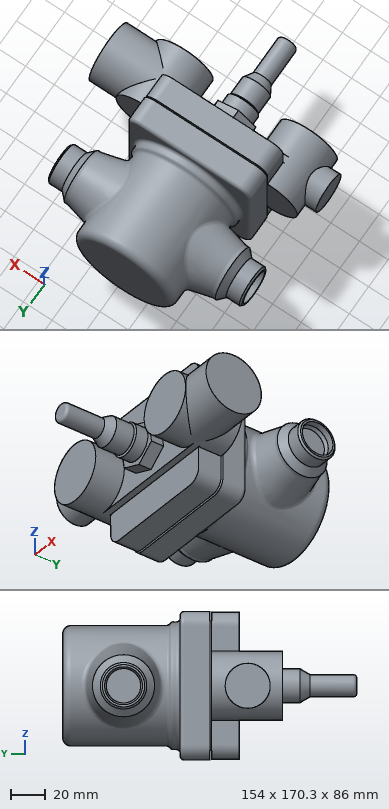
import cadquery as cq
import math


body_dia = 70.0
body_top = 86.2
body_top_fillet = 5.1
neck_dia = 74.0
neck_cone_top = 25.0
neck_cone_height = (neck_dia - body_dia) / 2
neck_blend = 1.5
neck_root_fillet = 2.0

upper_flange_size = 86.0
upper_flange_top = 18.2
upper_flange_corner = 8.2
upper_flange_fillet = 2.4
lower_flange_size = 85.1
lower_flange_thickness = 16.2
lower_flange_corner = 8.2
gasket_dia = 75.0
gasket_thickness = 1.0

port_y = 50.9
port_tip_x = 67.8
port_dia = 26.9
port_length = 10.4
port_chamfer = 1.2
shoulder_dia = 36.0
shoulder_length = 2.2
boss_base_dia = 44.0
boss_base_x = 35.0
boss_inner_x = 17.0
boss_root_fillet = 2.9
socket_dia = 22.0
socket_floor_dia = 20.0
socket_straight_depth = 4.5
socket_depth = 6.8

pipe_dia = 40.0
pipe_length = 41.2
pipe_spacing = 86.8
branch_y = -21.0
plate_bottom = -20.6
plate_thickness = 4.5
inlet_dia = 26.0
inlet_end_x = -71.0
outlet_end_x = 83.0

hex_across_flats = 26.9
hex_turn = 39.0
hex_bottom = -29.3
collar_dia = 22.0
collar_bottom = -37.5
groove_dia = 14.5
groove_bottom = -38.5
stem_dia = 20.0
stem_bottom = -51.0
tip_dia = 13.0
tip_cone_bottom = -57.0
tip_bottom = -84.1
tip_fillet = 2.0


def y_plane(y):
    """Work plane at height y whose normal points to +Y and whose local axes are X and -Z."""
    return cq.Workplane("XZ", origin=(0, y, 0)).transformed(rotate=(180, 0, 0))


def y_cylinder(dia, bottom, top, x=0.0):
    return y_plane(bottom).center(x, 0).circle(dia / 2).extrude(top - bottom)


def x_cylinder(dia, start, end, y):
    return cq.Workplane("YZ", origin=(start, y, 0)).circle(dia / 2).extrude(end - start)


def at_height(y):
    """Selector for edges centred within a thin slice at height y."""
    reach = upper_flange_size
    margin = 0.2
    return cq.selectors.BoxSelector((-reach, y - margin, -reach), (reach, y + margin, reach))


def flange(size, corner, bottom, top):
    block = y_plane(bottom).rect(size, size).extrude(top - bottom)
    return block.edges("|Y").fillet(corner)


def make_body():
    """Round body whose lower end widens through a blended cone into the neck."""
    neck_cone_bottom = neck_cone_top - neck_cone_height
    profile = [
        (0, upper_flange_top),
        (neck_dia / 2, upper_flange_top),
        (neck_dia / 2, neck_cone_bottom),
        (body_dia / 2, neck_cone_top),
        (body_dia / 2, body_top),
        (0, body_top),
    ]
    body = cq.Workplane("XY").polyline(profile).close().revolve(360, (0, 0), (0, 1))
    for y in (neck_cone_top, neck_cone_bottom):
        body = body.edges(at_height(y)).fillet(neck_blend)
    return body.faces(">Y").edges().fillet(body_top_fillet)


def revolve_on_port_axis(profile, side):
    """Revolve (x, radius) points about the port axis, mirrored to -X when side is -1."""
    points = [(side * x, radius) for x, radius in profile]
    plane = cq.Workplane("XY", origin=(0, port_y, 0))
    return plane.polyline(points).close().revolve(360, (0, 0), (1, 0))


def port_boss(side):
    """Outer shape of a side port; side is -1 or +1 along X."""
    tube_start = port_tip_x - port_length
    shoulder_end = tube_start - (shoulder_dia - port_dia) / 2
    cone_end = shoulder_end - shoulder_length
    cone_slope = (boss_base_dia - shoulder_dia) / 2 / (cone_end - boss_base_x)
    inner_radius = boss_base_dia / 2 + cone_slope * (boss_base_x - boss_inner_x)
    profile = [
        (boss_inner_x, 0),
        (boss_inner_x, inner_radius),
        (cone_end, shoulder_dia / 2),
        (shoulder_end, shoulder_dia / 2),
        (tube_start, port_dia / 2),
        (port_tip_x - port_chamfer, port_dia / 2),
        (port_tip_x, port_dia / 2 - port_chamfer),
        (port_tip_x, 0),
    ]
    return revolve_on_port_axis(profile, side)


def port_socket(side):
    """Blind socket in the port tip: a straight mouth, then a slight taper to a flat floor."""
    profile = [
        (port_tip_x, 0),
        (port_tip_x, socket_dia / 2),
        (port_tip_x - socket_straight_depth, socket_dia / 2),
        (port_tip_x - socket_depth, socket_floor_dia / 2),
        (port_tip_x - socket_depth, 0),
    ]
    return revolve_on_port_axis(profile, side)


def make_body_with_ports():
    joined = make_body().union(port_boss(-1)).union(port_boss(1))
    joined = joined.edges("%BSPLINE").fillet(boss_root_fillet)
    return joined.cut(port_socket(-1)).cut(port_socket(1))


def make_flanges():
    upper = flange(upper_flange_size, upper_flange_corner, gasket_thickness, upper_flange_top)
    upper = upper.faces(">Y").edges().fillet(upper_flange_fillet)
    gasket = y_cylinder(gasket_dia, 0, gasket_thickness)
    lower = flange(lower_flange_size, lower_flange_corner, -lower_flange_thickness, 0)
    return upper.union(gasket).union(lower)


def make_pipes():
    """Plate across the lower flange with a pipe at each end, one with an inlet and one with an outlet."""
    plate = y_plane(plate_bottom).rect(pipe_spacing, pipe_dia).extrude(plate_thickness)
    pipe_x = pipe_spacing / 2
    left = y_cylinder(pipe_dia, -pipe_length, 0, -pipe_x)
    right = y_cylinder(pipe_dia, -pipe_length, 0, pipe_x)
    inlet = x_cylinder(inlet_dia, inlet_end_x, -pipe_x, branch_y)
    outlet = x_cylinder(pipe_dia, pipe_x, outlet_end_x, branch_y)
    return plate.union(left).union(right).union(inlet).union(outlet)


def make_stem():
    corner_circle = hex_across_flats / math.cos(math.radians(30))
    hexagon = y_plane(hex_bottom).polygon(6, corner_circle).extrude(plate_bottom - hex_bottom)
    hexagon = hexagon.rotate((0, 0, 0), (0, 1, 0), -hex_turn)
    profile = [
        (0, hex_bottom),
        (collar_dia / 2, hex_bottom),
        (collar_dia / 2, collar_bottom),
        (groove_dia / 2, collar_bottom),
        (groove_dia / 2, groove_bottom),
        (stem_dia / 2, groove_bottom),
        (stem_dia / 2, stem_bottom),
        (tip_dia / 2, tip_cone_bottom),
        (tip_dia / 2, tip_bottom),
        (0, tip_bottom),
    ]
    stem = cq.Workplane("XY").polyline(profile).close().revolve(360, (0, 0), (0, 1))
    stem = stem.faces("<Y").edges().fillet(tip_fillet)
    return hexagon.union(stem)


def add_neck_root_fillet(part):
    """Round the corner where the neck stands on the upper flange."""
    circles = part.edges(at_height(upper_flange_top)).edges("%CIRCLE")
    return circles.edges(cq.selectors.RadiusNthSelector(-1)).fillet(neck_root_fillet)


valve = add_neck_root_fillet(make_body_with_ports().union(make_flanges()))
result = valve.union(make_pipes()).union(make_stem())